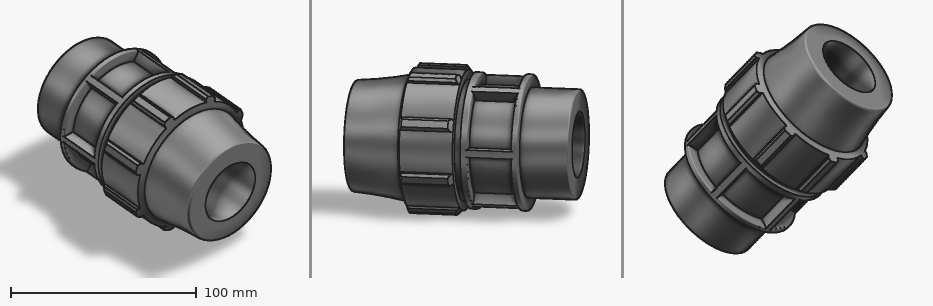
import cadquery as cq
import math

length = 123.0
bore_diameter = 35.8

spigot_diameter = 59.7
spigot_end_fillet = 0.9

flange_diameter = 73.8
flange_fillet = 0.9
front_flange_start = 26.3
front_flange_end = 29.8
rear_flange_start = 53.8
rear_flange_end = 57.6
body_diameter = 60.8
body_rib_count = 6
body_rib_width = 4.0

collar_diameter = 65.5

nut_start = 61.6
nut_end = 92.2
nut_diameter = 76.0
nut_bevel_length = 1.5
nut_bevel_height = 3.7

grip_count = 8
grip_width = 7.1
grip_root_width = 6.2
grip_root_radius = 36.9
grip_tip_radius = 40.8
grip_edge_chamfer = 1.5
grip_lead_in = 2.5
envelope_clearance = 1.2

nose_start_radius = 34.3
nose_middle_radius = 31.7
nose_end_radius = 30.3
nose_end_fillet = 1.6

nut_radius = nut_diameter / 2


def disc(start, end, diameter):
    """Solid cylinder along X between two stations."""
    return cq.Workplane("YZ").workplane(offset=start).circle(diameter / 2).extrude(end - start)


def ring_of(shape, count, first_angle):
    """Union of copies of a shape spaced evenly about the X axis."""
    ring = shape.rotate((0, 0, 0), (1, 0, 0), first_angle)
    for index in range(1, count):
        angle = first_angle + index * 360 / count
        ring = ring.union(shape.rotate((0, 0, 0), (1, 0, 0), angle))
    return ring


def spigot():
    """Plain end with a rounded rim."""
    tube = disc(0, front_flange_end, spigot_diameter)
    return tube.faces("<X").edges().fillet(spigot_end_fillet)


def ribbed_body():
    """Two flanges joined by a core and by ribs that reach the flange rim."""
    front_flange = disc(front_flange_start, front_flange_end, flange_diameter)
    front_flange = front_flange.edges().fillet(flange_fillet)
    rear_flange = disc(rear_flange_start, rear_flange_end, flange_diameter)
    rear_flange = rear_flange.faces("<X").edges().fillet(flange_fillet)
    core = disc(front_flange_start, rear_flange_end, body_diameter)

    rib_start = front_flange_end - flange_fillet
    rib_end = rear_flange_start + flange_fillet
    rib_size = (rib_end - rib_start, body_rib_width, flange_diameter)
    rib = cq.Workplane("XY").box(*rib_size, centered=(False, True, False)).translate((rib_start, 0, 0))
    ribs = ring_of(rib, body_rib_count, 360 / body_rib_count / 2)
    ribs = ribs.intersect(disc(rib_start, rib_end, flange_diameter))
    return core.union(front_flange).union(rear_flange).union(ribs)


def nut():
    """Nut barrel with lengthwise grips, trimmed by cones at both ends."""
    barrel = disc(nut_start, nut_end, nut_diameter)
    half_width = grip_width / 2
    half_root = grip_root_width / 2
    shoulder_radius = grip_tip_radius - grip_edge_chamfer
    half_tip = half_width - grip_edge_chamfer
    grip = (
        cq.Workplane("YZ")
        .workplane(offset=nut_start)
        .polyline([
            (-half_root, grip_root_radius),
            (-half_width, shoulder_radius),
            (-half_tip, grip_tip_radius),
            (half_tip, grip_tip_radius),
            (half_width, shoulder_radius),
            (half_root, grip_root_radius),
        ])
        .close()
        .extrude(nut_end - nut_start)
    )
    grips = ring_of(grip, grip_count, 360 / grip_count / 2)

    envelope_radius = grip_tip_radius + envelope_clearance
    envelope_height = envelope_radius - nut_radius
    lead_in_length = grip_lead_in * envelope_height / (grip_tip_radius - nut_radius)
    bevel_length = nut_bevel_length * (envelope_height + nut_bevel_height) / nut_bevel_height
    envelope = (
        cq.Workplane("XY")
        .moveTo(nut_start, 0)
        .lineTo(nut_start, nut_radius)
        .lineTo(nut_start + lead_in_length, envelope_radius)
        .lineTo(nut_end - bevel_length, envelope_radius)
        .lineTo(nut_end, nut_radius - nut_bevel_height)
        .lineTo(nut_end, 0)
        .close()
        .revolve(360, (0, 0, 0), (1, 0, 0))
    )
    return barrel.union(grips).intersect(envelope)


def nose():
    """Nose whose side is a shallow hollow arc, rounded at the far end."""
    taper_end = length - nose_end_fillet
    round_reach = nose_end_fillet * math.sqrt(0.5)
    return (
        cq.Workplane("XY")
        .moveTo(nut_start, 0)
        .lineTo(nut_start, nose_start_radius)
        .lineTo(nut_end, nose_start_radius)
        .threePointArc(((nut_end + taper_end) / 2, nose_middle_radius), (taper_end, nose_end_radius))
        .threePointArc(
            (taper_end + round_reach, nose_end_radius - nose_end_fillet + round_reach),
            (length, nose_end_radius - nose_end_fillet),
        )
        .lineTo(length, 0)
        .close()
        .revolve(360, (0, 0, 0), (1, 0, 0))
    )


collar = disc(rear_flange_end, nut_start, collar_diameter)
solid_fitting = spigot().union(ribbed_body()).union(collar).union(nut()).union(nose())
result = solid_fitting.cut(disc(0, length, bore_diameter))